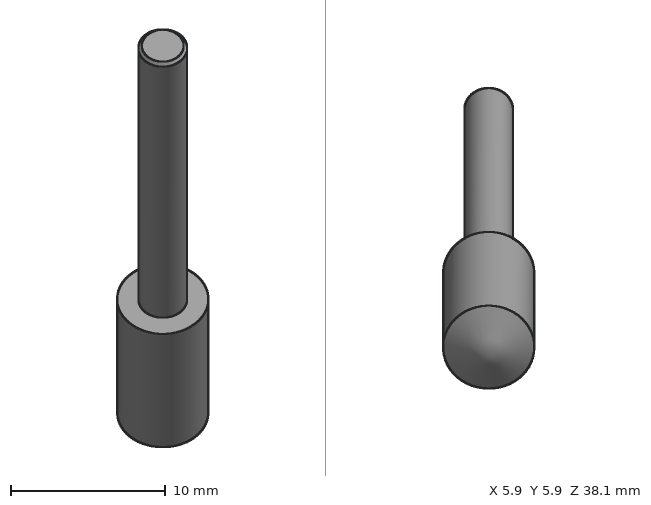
import cadquery as cq

total_length = 38.1

head_diameter = 5.9
head_top = 12.73
tip_height = 1.37

rod_diameter = 3.15
rod_chamfer = 0.23


def make_head():
    """Revolve the half outline of the cylinder and its pointed tip."""
    radius = head_diameter / 2
    return (
        cq.Workplane("XZ")
        .moveTo(0, 0)
        .lineTo(radius, tip_height)
        .lineTo(radius, head_top)
        .lineTo(0, head_top)
        .close()
        .revolve(360, (0, 0), (0, 1))
    )


def make_rod():
    """Cylinder from the head's top face to the upper end, chamfered there."""
    return (
        cq.Workplane("XY")
        .workplane(offset=head_top)
        .circle(rod_diameter / 2)
        .extrude(total_length - head_top)
        .faces(">Z")
        .chamfer(rod_chamfer)
    )


head = make_head()
rod = make_rod()

result = cq.Compound.makeCompound([head.val(), rod.val()])